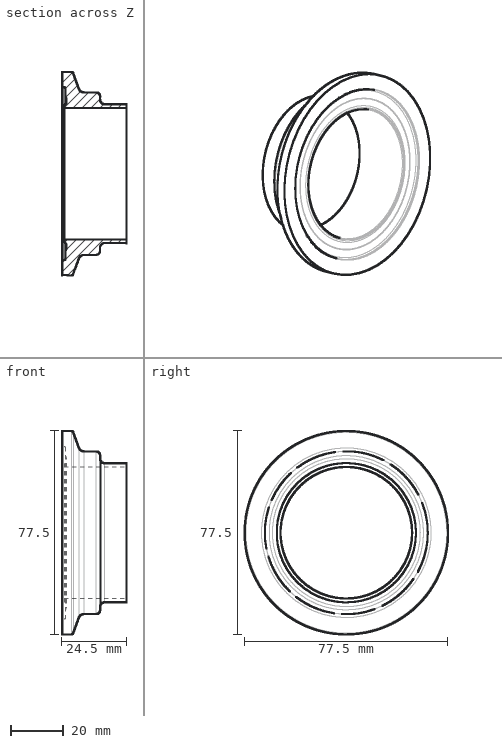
import cadquery as cq
import math

length = 24.5
flange_radius = 77.5 / 2
collar_radius = 62 / 2
tube_radius = 53.0 / 2
bore_radius = 50.0 / 2

flange_rim_width = 4.0
cone_angle = 20
collar_end = 14.5
rim_round = 0.8
cone_round = 1.9
step_round = 1.6

recess_radius = 65.7 / 2
recess_depth = 1.25
recess_round = 0.55
recess_rim_round = 0.2

groove_rim_radius = 29.3
groove_outer_radius = 29.1
groove_inner_radius = 26.4
groove_outer_angle = 30
groove_inner_angle = 40
lip_flat_radius = 25.7
mouth_round = 0.3


def ring_edges(x, radius):
    """Selector box holding the circular edges at the given X, up to the given radius."""
    margin = 0.04
    reach = radius + margin
    return cq.selectors.BoxSelector(
        (x - margin, -reach, -reach),
        (x + margin, reach, reach),
        boundingbox=True,
    )


def outer_body():
    cone_end = flange_rim_width + (flange_radius - collar_radius) * math.tan(math.radians(cone_angle))
    body = (
        cq.Workplane("XY")
        .moveTo(0, 0)
        .lineTo(0, flange_radius)
        .lineTo(flange_rim_width, flange_radius)
        .lineTo(cone_end, collar_radius)
        .lineTo(collar_end, collar_radius)
        .lineTo(collar_end, tube_radius)
        .lineTo(length, tube_radius)
        .lineTo(length, 0)
        .close()
        .revolve(360, (0, 0, 0), (1, 0, 0))
    )
    body = body.edges(ring_edges(flange_rim_width, flange_radius)).fillet(rim_round)
    body = body.edges(ring_edges(cone_end, collar_radius)).fillet(cone_round)
    return body.edges(ring_edges(collar_end, collar_radius)).fillet(step_round)


def inner_cavity():
    """Recess, groove, lip and bore as one revolved cutting body."""
    diagonal = math.sqrt(0.5)
    outer_slope = math.radians(groove_outer_angle)
    inner_slope = math.radians(groove_inner_angle)

    groove_width = groove_outer_radius - groove_inner_radius
    groove_start_x = recess_depth + (groove_rim_radius - groove_outer_radius) * math.tan(outer_slope / 2)
    groove_end_x = groove_start_x - groove_width * math.tan((inner_slope - outer_slope) / 2)

    lip_face = groove_end_x - (groove_inner_radius - lip_flat_radius) * math.tan(inner_slope / 2)
    rim_mid = (
        recess_rim_round * (1 - diagonal),
        recess_radius + recess_rim_round * (1 - diagonal),
    )
    recess_mid = (
        recess_depth - recess_round * (1 - diagonal),
        recess_radius - recess_round * (1 - diagonal),
    )
    mouth_mid = (
        lip_face + mouth_round * (1 - diagonal),
        bore_radius + mouth_round * (1 - diagonal),
    )
    return (
        cq.Workplane("XY")
        .moveTo(0, 0)
        .lineTo(0, recess_radius + recess_rim_round)
        .threePointArc(rim_mid, (recess_rim_round, recess_radius))
        .lineTo(recess_depth - recess_round, recess_radius)
        .threePointArc(recess_mid, (recess_depth, recess_radius - recess_round))
        .lineTo(recess_depth, groove_rim_radius)
        .tangentArcPoint((groove_start_x, groove_outer_radius), relative=False)
        .tangentArcPoint((groove_end_x, groove_inner_radius), relative=False)
        .tangentArcPoint((lip_face, lip_flat_radius), relative=False)
        .lineTo(lip_face, bore_radius + mouth_round)
        .threePointArc(mouth_mid, (lip_face + mouth_round, bore_radius))
        .lineTo(length, bore_radius)
        .lineTo(length, 0)
        .close()
        .revolve(360, (0, 0, 0), (1, 0, 0))
    )


result = outer_body().cut(inner_cavity())